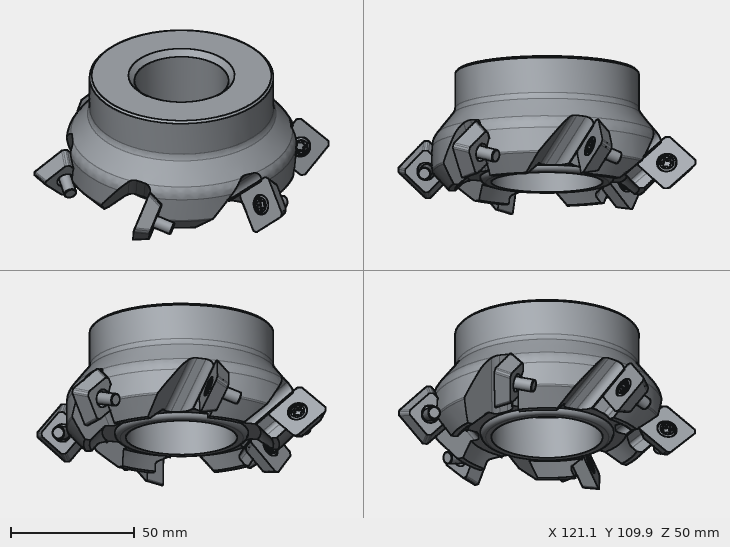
import cadquery as cq
import math

BODY_TOP = 50.0
BODY_BOTTOM = 1.7
SHANK_DIAMETER = 74.39
SHANK_CHAMFER = 0.9
NECK_BOTTOM = 33.45
NECK_BLEND_RADIUS = 4.2
RIM_DIAMETER = 93.0
RIM_HEIGHT = 21.8
RIM_BLEND_RADIUS = 8.0
BEVEL_TOP = 9.0
BEVEL_ROUND = 1.0
BOTTOM_RADIUS = 39.6

BORE_DIAMETER = 38.11
BORE_CHAMFER = 2.4
BORE_RECESS_DIAMETER = 45.0
BORE_RECESS_TOP = 21.9

HUB_DIAMETER = 54.0
HUB_BOTTOM = 4.6
HUB_ROUND = 2.1
HOLLOW_CEILING = 6.8
HOLLOW_RIM_RADIUS = 37.2

INSERT_COUNT = 6
INSERT_REACH = 11.7
INSERT_CORNER_FLAT = 1.8
INSERT_CORNER_ROUND = 1.0
INSERT_THICKNESS = 6.0
INSERT_RELIEF_ANGLE = 21.0
INSERT_HOLE_DIAMETER = 7.2
COUNTERSINK_DIAMETER = 8.1
COUNTERSINK_ANGLE = 60.0

SCREW_HEAD_DIAMETER = 7.7
SCREW_CROWN_DIAMETER = 5.7
SCREW_DIAMETER = 5.0
SCREW_TIP_DIAMETER = 4.5
SCREW_END_DEPTH = 13.5
SOCKET_DIAMETER = 3.4
SOCKET_LOBE_DIAMETER = 1.2
SOCKET_LOBES = 6
SOCKET_DEPTH = 2.0

FACE_CENTRE_X = 48.96
FACE_CENTRE_Y = 3.26
AXIAL_RAKE = 16.9
RADIAL_TURN = 8.0

GULLET_FLOOR_OFFSET = 11.9
GULLET_RADIUS = 3.6
GULLET_FLOOR_WIDTH = 3.5
GULLET_OPENING_ANGLE = 53.0
GULLET_REACH = 45.0

SEAT_ROUND = 2.0


def blade_plane():
    """Plane of the first insert face: x to the outer corner, y to the upper corner."""
    rake = math.radians(AXIAL_RAKE)
    turn = math.radians(RADIAL_TURN)
    centre_z = INSERT_REACH * math.cos(rake)
    return cq.Plane(
        origin=(FACE_CENTRE_X, FACE_CENTRE_Y, centre_z),
        xDir=(math.cos(turn), math.sin(turn), 0),
        normal=(math.cos(rake) * math.sin(turn), -math.cos(rake) * math.cos(turn), math.sin(rake)),
    )


def place(shape, index):
    """Move a shape from the insert's own frame to station `index` on the cutter."""
    located = shape.val().moved(cq.Location(blade_plane()))
    station = located.rotate((0, 0, 0), (0, 0, 1), index * 360 / INSERT_COUNT)
    return cq.Workplane(station)


def insert_outline(depth):
    """Square standing on its corner, each corner cut by a flat, at a depth below the face."""
    inset = depth * math.tan(math.radians(INSERT_RELIEF_ANGLE)) * math.sqrt(2)
    reach = INSERT_REACH - inset
    half_flat = INSERT_CORNER_FLAT / 2
    return [
        (reach, -half_flat), (reach, half_flat),
        (half_flat, reach), (-half_flat, reach),
        (-reach, half_flat), (-reach, -half_flat),
        (-half_flat, -reach), (half_flat, -reach),
    ]


def make_insert_blank():
    """Tapered square plate with its face at z = 0 and its back at -INSERT_THICKNESS."""
    plate = (
        cq.Workplane().polyline(insert_outline(0)).close()
        .workplane(offset=-INSERT_THICKNESS)
        .polyline(insert_outline(INSERT_THICKNESS)).close()
        .loft(ruled=True)
    )
    return plate.edges("not(#Z)").fillet(INSERT_CORNER_ROUND)


def cone_depth(diameter):
    """Depth at which the countersink has narrowed to `diameter`."""
    return (COUNTERSINK_DIAMETER - diameter) / 2 / math.tan(math.radians(COUNTERSINK_ANGLE / 2))


def make_insert_hole():
    throat = cone_depth(INSERT_HOLE_DIAMETER)
    outline = [
        (0, 0), (COUNTERSINK_DIAMETER / 2, 0), (INSERT_HOLE_DIAMETER / 2, -throat),
        (INSERT_HOLE_DIAMETER / 2, -INSERT_THICKNESS), (0, -INSERT_THICKNESS),
    ]
    return cq.Workplane("XZ").polyline(outline).close().revolve(360, (0, 0), (0, 1))


def make_screw():
    """Countersunk screw seated in the insert's countersink."""
    head = cone_depth(SCREW_HEAD_DIAMETER)
    neck = cone_depth(SCREW_DIAMETER)
    tip_chamfer = (SCREW_DIAMETER - SCREW_TIP_DIAMETER) / 2
    outline = [
        (0, 0), (SCREW_CROWN_DIAMETER / 2, 0),
        (SCREW_HEAD_DIAMETER / 2, -head), (SCREW_DIAMETER / 2, -neck),
        (SCREW_DIAMETER / 2, tip_chamfer - SCREW_END_DEPTH),
        (SCREW_TIP_DIAMETER / 2, -SCREW_END_DEPTH), (0, -SCREW_END_DEPTH),
    ]
    screw = cq.Workplane("XZ").polyline(outline).close().revolve(360, (0, 0), (0, 1))
    socket = cq.Workplane().circle(SOCKET_DIAMETER / 2).extrude(-SOCKET_DEPTH)
    lobes = (
        cq.Workplane().polarArray(SOCKET_DIAMETER / 2, 0, 360, SOCKET_LOBES)
        .circle(SOCKET_LOBE_DIAMETER / 2).extrude(-SOCKET_DEPTH)
    )
    return screw.cut(socket).cut(lobes)


EDGE_PLANE = cq.Plane(origin=(0, 0, 0), xDir=(0, 0, 1), normal=(1, 1, 0))


def make_gullet():
    """Chip channel along the insert edge: inner round, floor, outer round and sloping outer wall."""
    opening = math.radians(GULLET_OPENING_ANGLE)
    floor_end = GULLET_RADIUS + GULLET_FLOOR_WIDTH

    def outer_arc(angle):
        return (
            floor_end + GULLET_RADIUS * math.sin(angle),
            -GULLET_FLOOR_OFFSET + GULLET_RADIUS * (1 - math.cos(angle)),
        )

    wall_start = outer_arc(opening)
    wall_end = (
        wall_start[0] + GULLET_REACH * math.cos(opening),
        wall_start[1] + GULLET_REACH * math.sin(opening),
    )
    inner_bulge = GULLET_RADIUS * (1 - math.sqrt(0.5))
    return (
        cq.Workplane(EDGE_PLANE)
        .moveTo(0, wall_end[1])
        .lineTo(0, -GULLET_FLOOR_OFFSET + GULLET_RADIUS)
        .threePointArc((inner_bulge, -GULLET_FLOOR_OFFSET + inner_bulge), (GULLET_RADIUS, -GULLET_FLOOR_OFFSET))
        .lineTo(floor_end, -GULLET_FLOOR_OFFSET)
        .threePointArc(outer_arc(opening / 2), wall_start)
        .lineTo(*wall_end)
        .close()
        .extrude(GULLET_REACH, both=True)
    )


def make_seat():
    """Channel parallel to the gullet, holding the insert's inner flank and its back."""
    face_edge = -(INSERT_REACH + INSERT_CORNER_FLAT / 2) / math.sqrt(2)
    back_edge = face_edge + INSERT_THICKNESS * math.tan(math.radians(INSERT_RELIEF_ANGLE))
    return (
        cq.Workplane(EDGE_PLANE)
        .moveTo(0, GULLET_REACH)
        .lineTo(0, face_edge)
        .lineTo(-INSERT_THICKNESS, back_edge)
        .lineTo(-INSERT_THICKNESS, GULLET_REACH)
        .close()
        .extrude(GULLET_REACH, both=True)
        .edges(cq.selectors.NearestToPointSelector(
            EDGE_PLANE.toWorldCoords((-INSERT_THICKNESS, back_edge)).toTuple()))
        .fillet(SEAT_ROUND)
    )


def circle_at(height):
    """Selector for the horizontal edges at one height."""
    reach = RIM_DIAMETER
    margin = 0.1
    return cq.selectors.BoxSelector((-reach, -reach, height - margin), (reach, reach, height + margin))


def make_body_blank():
    shank_radius = SHANK_DIAMETER / 2
    rim_radius = RIM_DIAMETER / 2
    outline = [
        (0, BODY_BOTTOM), (BOTTOM_RADIUS, BODY_BOTTOM), (rim_radius, BEVEL_TOP),
        (rim_radius, RIM_HEIGHT), (shank_radius, NECK_BOTTOM), (shank_radius, BODY_TOP), (0, BODY_TOP),
    ]
    blank = cq.Workplane("XZ").polyline(outline).close().revolve(360, (0, 0), (0, 1))
    blends = [
        (BEVEL_TOP, BEVEL_ROUND),
        (RIM_HEIGHT, RIM_BLEND_RADIUS),
        (NECK_BOTTOM, NECK_BLEND_RADIUS),
    ]
    for height, radius in blends:
        blank = blank.edges(circle_at(height)).fillet(radius)
    return blank.faces(">Z").edges().chamfer(SHANK_CHAMFER)


def make_bore():
    bore = BORE_DIAMETER / 2
    recess = BORE_RECESS_DIAMETER / 2
    outline = [
        (0, BODY_BOTTOM), (recess, BODY_BOTTOM), (recess, BORE_RECESS_TOP),
        (bore, BORE_RECESS_TOP), (bore, BODY_TOP - BORE_CHAMFER),
        (bore + BORE_CHAMFER, BODY_TOP), (0, BODY_TOP),
    ]
    return cq.Workplane("XZ").polyline(outline).close().revolve(360, (0, 0), (0, 1))


def make_hollow():
    """Underside hollow: a 45-degree dish around the shorter, rounded hub."""
    depth = HOLLOW_CEILING - BODY_BOTTOM
    dish = (
        cq.Workplane().workplane(offset=BODY_BOTTOM)
        .circle(HOLLOW_RIM_RADIUS).workplane(offset=depth).circle(HOLLOW_RIM_RADIUS - depth).loft()
    )
    hub = (
        cq.Workplane().workplane(offset=HUB_BOTTOM)
        .circle(HUB_DIAMETER / 2).extrude(BODY_TOP - HUB_BOTTOM)
        .faces("<Z").edges().fillet(HUB_ROUND)
    )
    return dish.cut(hub)


body = make_body_blank().cut(make_bore()).cut(make_hollow())
insert_blank = make_insert_blank()
insert = insert_blank.cut(make_insert_hole()).union(make_screw())
gullet = make_gullet()
seat = make_seat()
inserts = []
for station in range(INSERT_COUNT):
    for relief in (gullet, seat, insert_blank):
        body = body.cut(place(relief, station))
    inserts.append(place(insert, station).val())

result = cq.Compound.makeCompound([body.solids().val(), *inserts])